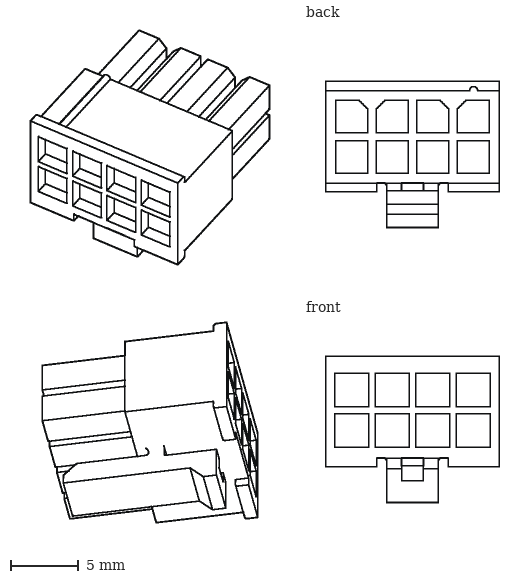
import cadquery as cq


COLUMNS = 4
ROWS = 2
PITCH = 3.0

WIDTH = 12.85
HOUSING_DEPTH = 7.65
HOUSING_HEIGHT = 6.85

FLANGE_DEPTH = 1.0
FLANGE_RISE = 0.7
FLANGE_DROP = 0.66
FLANGE_TOP_RADIUS = 0.28
FLANGE_BOTTOM_RADIUS = 0.2
NOTCH_WIDTH = 5.28

RIB_RADIUS = 0.3
RIB_X = -4.52

CAVITY_SIZE = 2.49
CAVITY_DEPTH = 1.0
CAVITY_MID_Z = 3.54

OVERALL_DEPTH = 14.0
TUBE_SIZE = 2.4
TUBE_CHAMFER = 0.66
TUBE_MID_Z = HOUSING_HEIGHT / 2

LATCH_WIDTH = 3.84
LATCH_FRONT_Y = 1.58
LATCH_BACK_Y = 13.1
LATCH_BOTTOM_Z = -3.29
HOOK_HEIGHT = 1.0
HOOK_FLAT = 1.0
LEVER_CHAMFER = 1.0
LEVER_FRONT_GAP = 0.78
LEVER_BACK_GAP = 0.56
NECK_FRONT_Y = 5.5
NECK_BACK_Y = 6.7
NECK_RADIUS = 0.21
NECK_FRONT_RADIUS = 0.14

SLOT_WIDTH = 1.62
SLOT_BACK_Y = 10.86
SLOT_FLOOR_Z = -1.67


def block(width, y_start, y_end, z_low, z_high, x_mid=0.0):
    """Rectangular block between the given Y and Z limits, centred on x_mid."""
    size = (width, y_end - y_start, z_high - z_low)
    corner = (x_mid - width / 2, y_start, z_low)
    return cq.Workplane("XY").box(*size, centered=False).translate(corner)


def contact_positions(mid_z):
    """Yield column, row, X and Z of every contact; row 0 is the lower one."""
    for column in range(COLUMNS):
        for row in range(ROWS):
            x = (column - (COLUMNS - 1) / 2) * PITCH
            z = mid_z + (row - (ROWS - 1) / 2) * PITCH
            yield column, row, x, z


def make_flange():
    top_z = HOUSING_HEIGHT + FLANGE_RISE
    flange = block(WIDTH, 0, FLANGE_DEPTH, -FLANGE_DROP, top_z)
    flange = flange.edges(">Y and >Z").fillet(FLANGE_TOP_RADIUS)
    flange = flange.edges(">Y and <Z").fillet(FLANGE_BOTTOM_RADIUS)
    return flange.cut(block(NOTCH_WIDTH, 0, FLANGE_DEPTH, -FLANGE_DROP, 0))


def make_rib():
    rib = cq.Workplane("XZ").center(RIB_X, HOUSING_HEIGHT).circle(RIB_RADIUS)
    return rib.extrude(-HOUSING_DEPTH)


def make_cavities():
    cavities = cq.Workplane("XY")
    half = CAVITY_SIZE / 2
    for _, _, x, z in contact_positions(CAVITY_MID_Z):
        cavities = cavities.add(block(CAVITY_SIZE, 0, CAVITY_DEPTH, z - half, z + half, x))
    return cavities.combine()


def make_tube(column, row, x, z):
    """Rear tube; upper tubes have one chamfered edge, on alternating sides by column."""
    half = TUBE_SIZE / 2
    tube = block(TUBE_SIZE, HOUSING_DEPTH, OVERALL_DEPTH, z - half, z + half, x)
    if row == ROWS - 1:
        side = ">X" if column % 2 == 0 else "<X"
        tube = tube.edges(f"{side} and >Z").chamfer(TUBE_CHAMFER)
    return tube


def make_lever():
    """Lever with its hook at the front and its neck reaching up to the housing."""
    hook_top_z = LATCH_BOTTOM_Z + HOOK_HEIGHT
    hook_back_y = LATCH_FRONT_Y + HOOK_FLAT
    profile = (
        cq.Workplane("YZ", origin=(-LATCH_WIDTH / 2, 0, 0))
        .moveTo(LATCH_FRONT_Y, LATCH_BOTTOM_Z)
        .lineTo(hook_back_y, LATCH_BOTTOM_Z)
        .lineTo(hook_back_y + HOOK_HEIGHT, hook_top_z)
        .lineTo(LATCH_BACK_Y, hook_top_z)
        .lineTo(LATCH_BACK_Y, -LEVER_BACK_GAP - LEVER_CHAMFER)
        .lineTo(LATCH_BACK_Y - LEVER_CHAMFER, -LEVER_BACK_GAP)
        .lineTo(NECK_BACK_Y + NECK_RADIUS, -LEVER_BACK_GAP)
        .radiusArc((NECK_BACK_Y, -LEVER_BACK_GAP + NECK_RADIUS), NECK_RADIUS)
        .lineTo(NECK_BACK_Y, 0)
        .lineTo(NECK_FRONT_Y, 0)
        .lineTo(NECK_FRONT_Y, -LEVER_FRONT_GAP + NECK_FRONT_RADIUS)
        .radiusArc((NECK_FRONT_Y - NECK_FRONT_RADIUS, -LEVER_FRONT_GAP), NECK_FRONT_RADIUS)
        .lineTo(LATCH_FRONT_Y, -LEVER_FRONT_GAP)
        .close()
    )
    return profile.extrude(LATCH_WIDTH)


def blend_neck(body):
    """Fillet the sides and back of the neck where it meets the housing underside."""
    margin = 0.01
    half = LATCH_WIDTH / 2 + margin
    front_y = NECK_FRONT_Y - margin
    back_y = NECK_BACK_Y + margin
    whole_root = cq.selectors.BoxSelector((-half, front_y, -margin), (half, back_y, margin))
    front_edge = cq.selectors.BoxSelector((-half, front_y, -margin), (half, NECK_FRONT_Y + margin, margin))
    return body.edges(whole_root - front_edge).fillet(NECK_RADIUS)


result = block(WIDTH, 0, HOUSING_DEPTH, 0, HOUSING_HEIGHT)
result = result.union(make_lever())
result = blend_neck(result)
result = result.cut(block(SLOT_WIDTH, LATCH_FRONT_Y, SLOT_BACK_Y, SLOT_FLOOR_Z, 0))
result = result.union(make_flange()).union(make_rib())
result = result.cut(make_cavities())
for contact in contact_positions(TUBE_MID_Z):
    result = result.union(make_tube(*contact))